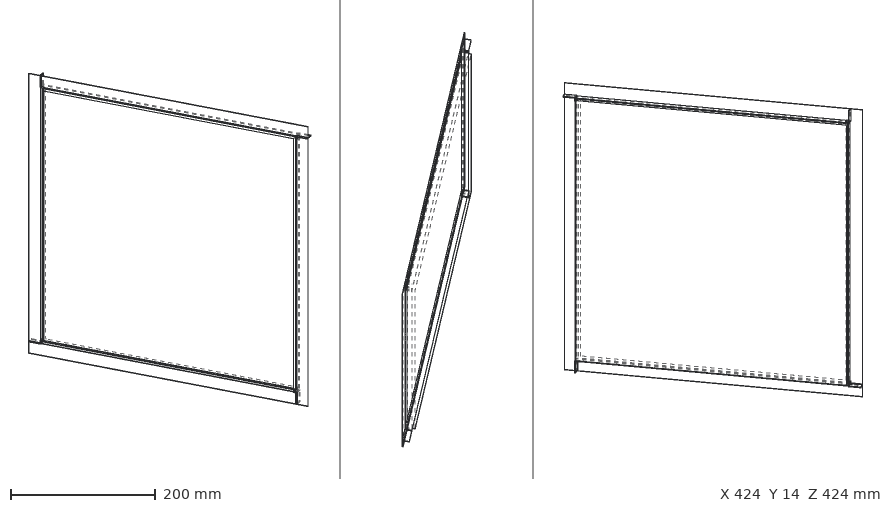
import cadquery as cq

SIDE = 424.0
DEPTH = 14.0
FRONT_Y = -DEPTH / 2

SHEET = 1.3
TRIM_WIDTH = 18.5
END_SETBACK = 1.0
TRAY_STANDOUT = 4.03
TRIM_DEPTH = DEPTH - TRAY_STANDOUT
TRIM_GAP = 1.0
BUTT_LENGTH = 3.5
END_WIDTH = TRIM_WIDTH - END_SETBACK
TRIM_LENGTH = SIDE - END_WIDTH - TRIM_GAP
TRIM_COUNT = 4

TRAY_GAP = 1.0
TRAY_SIDE = SIDE - 2 * (TRIM_WIDTH + TRAY_GAP)
TRAY_RADIUS = 1.5

PLATE_SETBACK = 1.5
PLATE_THICKNESS = 1.5
PLATE_BEVEL = 2.5
TRAY_LEDGE = 1.0
PLATE_SIDE = TRAY_SIDE - 2 * TRAY_LEDGE
TRAY_FRONT_Y = FRONT_Y + PLATE_SETBACK + PLATE_THICKNESS


def trim_stretch(width, start_x, length):
    """L-section strip along the bottom edge: front flange with a rearward leg on its inner side."""
    leg_z = width - SHEET
    profile = [
        (0, 0),
        (SHEET, 0),
        (SHEET, leg_z),
        (TRIM_DEPTH, leg_z),
        (TRIM_DEPTH, width),
        (0, width),
    ]
    return (
        cq.Workplane("YZ")
        .polyline(profile)
        .close()
        .extrude(length)
        .translate((start_x - SIDE / 2, FRONT_Y, -SIDE / 2))
    )


def make_trim(angle):
    """One trim with narrower ends, turned about Y to its side of the square."""
    middle_length = TRIM_LENGTH - END_WIDTH - BUTT_LENGTH
    corner_end = trim_stretch(END_WIDTH, 0, END_WIDTH)
    middle = trim_stretch(TRIM_WIDTH, END_WIDTH, middle_length)
    butt_end = trim_stretch(END_WIDTH, END_WIDTH + middle_length, BUTT_LENGTH)
    trim = corner_end.union(middle).union(butt_end)
    return trim.rotate((0, 0, 0), (0, 1, 0), angle)


def make_tray():
    """Square slab with rounded corners, reaching back to the rear of the envelope."""
    thickness = DEPTH / 2 - TRAY_FRONT_Y
    return (
        cq.Workplane("XY")
        .box(TRAY_SIDE, thickness, TRAY_SIDE)
        .edges("|Y")
        .fillet(TRAY_RADIUS)
        .translate((0, TRAY_FRONT_Y + thickness / 2, 0))
    )


def make_plate():
    """Plate standing on the tray front, sloping in on all four sides toward -Y."""
    front_side = PLATE_SIDE - 2 * PLATE_BEVEL
    return (
        cq.Workplane("XZ", origin=(0, TRAY_FRONT_Y, 0))
        .rect(PLATE_SIDE, PLATE_SIDE)
        .workplane(offset=PLATE_THICKNESS)
        .rect(front_side, front_side)
        .loft(ruled=True)
    )


trims = []
for index in range(TRIM_COUNT):
    trims.append(make_trim(index * 360 / TRIM_COUNT).solids().val())

tray = make_tray()
plate = make_plate()

result = cq.Compound.makeCompound([tray.val(), plate.val(), *trims])